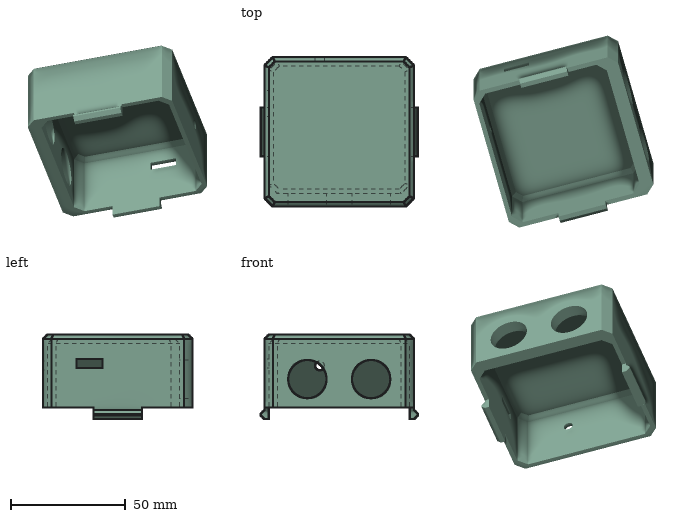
import cadquery as cq

overall_length = 68.6
overall_height = 37.0
body_width = 65.4
clip_drop = 5.0
corner_chamfer = 3.7
top_chamfer = 2.0

wall = 2.0
front_wall = 5.7

opening_diameter = 16.75
opening_spacing = 27.85
opening_height = 17.5

back_hole_diameter = 4.0
back_hole_x = -8.5
back_hole_height = 23.4

slot_width = 11.45
slot_height = 4.0
slot_center_y = 12.35
slot_center_z = 24.3

clip_width = 21.35
barb_tip_height = 0.75

half_width = body_width / 2
half_length = overall_length / 2
barb_depth = half_length - half_width


def make_body():
    """Box with chamfered upright corners and a chamfered top rim."""
    return (
        cq.Workplane("XY", origin=(0, 0, clip_drop))
        .rect(body_width, body_width)
        .extrude(overall_height - clip_drop)
        .edges("|Z")
        .chamfer(corner_chamfer)
        .faces(">Z")
        .chamfer(top_chamfer)
    )


def make_cavity():
    """Hollow open at the bottom, set back further from the thick front wall."""
    cavity_depth = body_width - wall - front_wall
    return (
        cq.Workplane("XY", origin=(0, (front_wall - wall) / 2, clip_drop))
        .rect(body_width - 2 * wall, cavity_depth)
        .extrude(overall_height - clip_drop - wall)
        .edges("|Z")
        .chamfer(corner_chamfer)
        .faces(">Z")
        .chamfer(top_chamfer)
    )


def make_cable_openings():
    return (
        cq.Workplane("XZ", origin=(0, -half_width, opening_height))
        .pushPoints([(-opening_spacing / 2, 0), (opening_spacing / 2, 0)])
        .circle(opening_diameter / 2)
        .extrude(-front_wall)
    )


def make_back_hole():
    return (
        cq.Workplane("XZ", origin=(back_hole_x, half_width, back_hole_height))
        .circle(back_hole_diameter / 2)
        .extrude(wall)
    )


def make_slot():
    slot_center_x = -half_width + wall / 2
    return cq.Workplane("XY").box(wall, slot_width, slot_height).translate(
        (slot_center_x, slot_center_y, slot_center_z)
    )


def make_right_clip():
    """Tab continuing the wall downward, with an outward barb at its end."""
    inner_face = half_width - wall
    barb_top = 2 * barb_depth + barb_tip_height
    return (
        cq.Workplane("XZ")
        .moveTo(inner_face, 0)
        .lineTo(half_width, 0)
        .lineTo(half_length, barb_depth)
        .lineTo(half_length, barb_depth + barb_tip_height)
        .lineTo(half_width, barb_top)
        .lineTo(half_width, clip_drop)
        .lineTo(inner_face, clip_drop)
        .close()
        .extrude(clip_width / 2, both=True)
    )


right_clip = make_right_clip()
left_clip = right_clip.mirror("YZ")

result = (
    make_body()
    .cut(make_cavity())
    .cut(make_cable_openings())
    .cut(make_back_hole())
    .cut(make_slot())
    .union(right_clip)
    .union(left_clip)
)